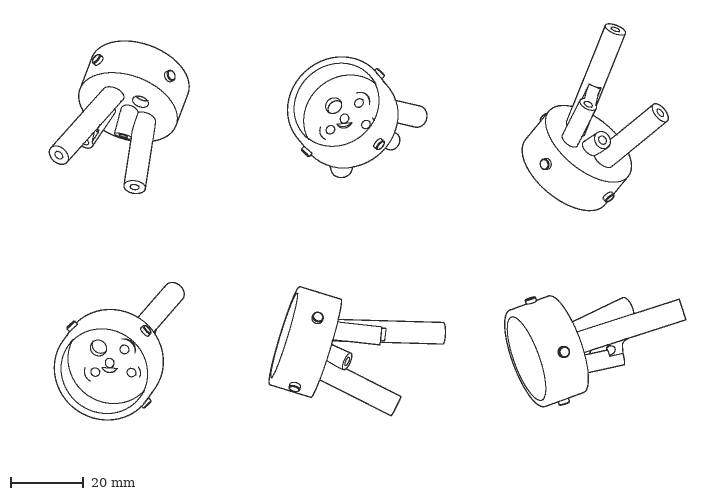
import cadquery as cq
import math

disc_radius = 14.1
disc_depth = 12.05
floor_thickness = 2.5
wall_thickness = 2.0
rim_fillet = 0.4
hole_diameter = 4.53
hole_offset = 3.6

pin_count = 4
pin_first_angle = 45
pin_diameter = 3.0
pin_reach = 15.3
pin_chamfer = 0.2
pin_y = 5.7
pin_root = 12.95

bore_diameter = 2.4
large_tube = 6.0
small_tube = 5.0
long_root = cq.Vector(-4.23, 0, 4.15)
long_tip = cq.Vector(-10.95, -30.2, 10.7)
right_root = cq.Vector(4.87, 0, -3.55)
right_tip = cq.Vector(8.55, -22.85, -4.9)
stub_root = cq.Vector(0.47, 0, -1.75)
stub_tip = cq.Vector(0.47, -6.25, -4.87)
left_root = cq.Vector(-6.12, 0, -2.85)
left_tip = cq.Vector(-8.6, -13.0, -2.55)
tubes = [
    (long_root, long_tip, large_tube),
    (right_root, right_tip, large_tube),
    (stub_root, stub_tip, small_tube),
    (left_root, left_tip, small_tube),
]
tube_embed = 2.15
bore_length_in_disc = 4.3

web_width = 3.45
web_shift = 0.35
web_neck = 2.1
web_fillet = 2.0
web_overlap = 1.08


def rod(tip, root, diameter, length):
    """Cylinder running from the tip centre back along the tube axis."""
    return cq.Workplane(cq.Solid.makeCylinder(diameter / 2, length, tip, root - tip))


def make_disc():
    disc = cq.Workplane("XZ").circle(disc_radius).extrude(-disc_depth)
    disc = disc.faces(">Y").edges().fillet(rim_fillet)
    hollow = cq.Workplane("XZ", origin=(0, floor_thickness, 0)).circle(disc_radius - wall_thickness)
    return disc.cut(hollow.extrude(floor_thickness - disc_depth))


def make_pin(angle):
    pin = cq.Workplane("YZ", origin=(pin_root, pin_y, 0)).circle(pin_diameter / 2)
    pin = pin.extrude(pin_reach - pin_root).faces(">X").chamfer(pin_chamfer)
    return pin.rotate((0, 0, 0), (0, 1, 0), angle)


def make_web():
    u_dir = (left_tip - left_root).normalized()
    long_dir = (long_tip - long_root).normalized()
    to_tip_plane = (left_tip - long_root).dot(u_dir) / long_dir.dot(u_dir)
    across = long_root + long_dir * to_tip_plane - left_tip
    rise = across.Length
    v_dir = across.normalized()

    tilt = math.atan2(long_dir.dot(v_dir), long_dir.dot(u_dir))
    slope = math.tan(tilt)
    underside = rise - large_tube / 2 / math.cos(tilt)
    left_top = small_tube / 2

    front_v = underside + slope * web_fillet - web_fillet / math.cos(tilt)

    rear_radius = (underside - left_top - slope * web_neck) / (1 + 1 / math.cos(tilt) + slope)
    rear_u = -web_neck - rear_radius
    rear_v = left_top + rear_radius

    def on_arc(u, v, radius, angle):
        return (u + radius * math.cos(angle), v + radius * math.sin(angle))

    upper_angle = math.pi / 2 + tilt
    front_mid = on_arc(web_fillet, front_v, web_fillet, (math.pi + upper_angle) / 2)
    front_end = on_arc(web_fillet, front_v, web_fillet, upper_angle)
    rear_start = on_arc(rear_u, rear_v, rear_radius, upper_angle)

    w_dir = v_dir.cross(u_dir)
    plane = cq.Plane(origin=left_tip + w_dir * web_shift, xDir=u_dir, normal=-w_dir)
    profile = (
        cq.Workplane(plane)
        .moveTo(0, left_top - web_overlap)
        .lineTo(0, front_v)
        .threePointArc(front_mid, front_end)
        .lineTo(front_end[0], front_end[1] + web_overlap)
        .lineTo(rear_start[0], rear_start[1] + web_overlap)
        .lineTo(*rear_start)
        .threePointArc((-web_neck, rear_v), (rear_u, left_top))
        .lineTo(rear_u, left_top - web_overlap)
        .close()
    )
    return profile.extrude(web_width / 2, both=True)


result = make_disc()
for index in range(pin_count):
    result = result.union(make_pin(pin_first_angle + index * 360 / pin_count))
for root, tip, diameter in tubes:
    result = result.union(rod(tip, root, diameter, (tip - root).Length + tube_embed))
result = result.union(make_web())

for root, tip, _ in tubes:
    result = result.cut(rod(tip, root, bore_diameter, (tip - root).Length + bore_length_in_disc))

through_hole = (
    cq.Workplane("XZ").center(hole_offset, hole_offset).circle(hole_diameter / 2).extrude(-disc_depth)
)
result = result.cut(through_hole)